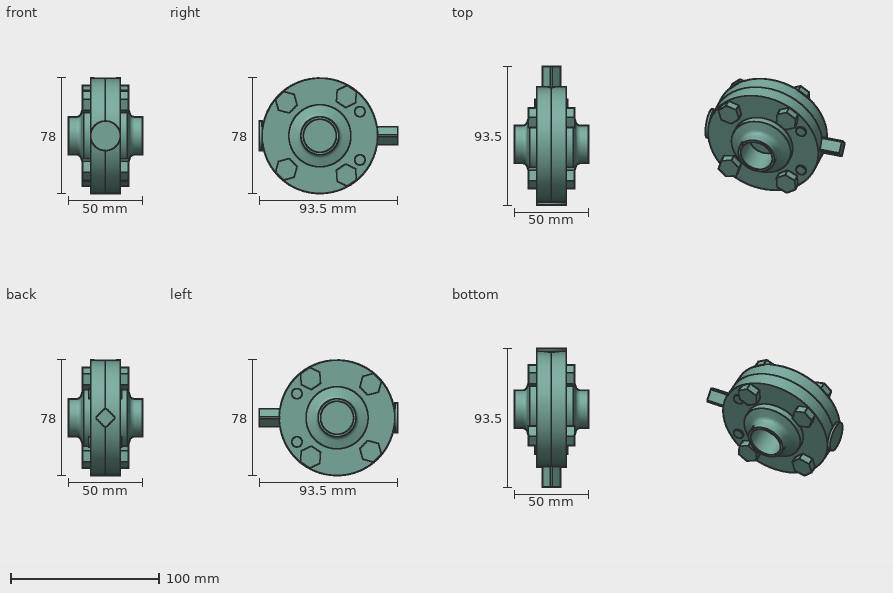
import cadquery as cq
import math


FLANGE_RADIUS = 39.0
FLANGE_THICKNESS = 10.0

BORE_RADIUS = 11.1
STUB_RADIUS = 12.8
VALVE_LENGTH = 50.0
STUB_END_X = VALVE_LENGTH / 2
RING_RADIUS = 20.9
RING_END_X = 14.7
CONE_ANGLE = 16.5
STUB_BLEND_RADIUS = 3.0
STUB_ROOT_X = RING_END_X + (RING_RADIUS - STUB_RADIUS) * math.tan(math.radians(CONE_ANGLE))

BOLT_CIRCLE_RADIUS = 32.0
BOLT_ANGLES = (56, -56, 135, -135)
BOLT_ACROSS_FLATS = 13.0
BOLT_HEAD_HEIGHT = 5.6
HEX_HALF_ANGLE = 30

PIN_RADIUS = 3.5
PIN_Y = 27.0
PIN_Z = 16.3
PIN_HEIGHT = 1.1

SHAFT_DIAMETER = 12.25
SPINDLE_LENGTH = 93.5
HEAD_RADIUS = FLANGE_THICKNESS
HEAD_THICKNESS = 2.0
HEAD_INNER_Y = -FLANGE_RADIUS
SPINDLE_START_Y = HEAD_INNER_Y - HEAD_THICKNESS
SPINDLE_END_Y = SPINDLE_START_Y + SPINDLE_LENGTH
SQUARE_SIDE = 9.5
SQUARE_TURN = 45
SQUARE_START_Y = 37.4
DISC_THICKNESS = 13.1


def rod_along_x(radius, start, end):
    return cq.Workplane("YZ", origin=(start, 0, 0)).circle(radius).extrude(end - start)


def rod_along_y(radius, start, end):
    return cq.Workplane("XZ", origin=(0, start, 0)).circle(radius).extrude(start - end)


def make_hub():
    """Ring, cone and pipe stub, turned about X."""
    profile = [
        (0, 0),
        (0, RING_RADIUS),
        (RING_END_X, RING_RADIUS),
        (STUB_ROOT_X, STUB_RADIUS),
        (STUB_END_X, STUB_RADIUS),
        (STUB_END_X, 0),
    ]
    hub = cq.Workplane("XZ").polyline(profile).close().revolve(360, (0, 0), (1, 0))
    stub_root = cq.selectors.NearestToPointSelector((STUB_ROOT_X, 0, 0))
    return hub.edges(stub_root).fillet(STUB_BLEND_RADIUS)


def make_bolt_head(angle):
    circumscribed_diameter = BOLT_ACROSS_FLATS / math.cos(math.radians(HEX_HALF_ANGLE))
    head = (
        cq.Workplane("YZ", origin=(FLANGE_THICKNESS, 0, 0))
        .polygon(6, circumscribed_diameter)
        .extrude(BOLT_HEAD_HEIGHT)
        .rotate((0, 0, 0), (1, 0, 0), HEX_HALF_ANGLE)
        .translate((0, BOLT_CIRCLE_RADIUS, 0))
    )
    return head.rotate((0, 0, 0), (1, 0, 0), angle)


def make_pin_ends():
    return (
        cq.Workplane("YZ", origin=(FLANGE_THICKNESS, 0, 0))
        .pushPoints([(PIN_Y, PIN_Z), (PIN_Y, -PIN_Z)])
        .circle(PIN_RADIUS)
        .extrude(PIN_HEIGHT)
    )


def make_spindle():
    """Disc, shaft with a round head at -Y, and a square drive end with turned corners at +Y."""
    head = rod_along_y(HEAD_RADIUS, SPINDLE_START_Y, HEAD_INNER_Y)
    shaft = rod_along_y(SHAFT_DIAMETER / 2, HEAD_INNER_Y, SQUARE_START_Y)
    square_length = SPINDLE_END_Y - SQUARE_START_Y
    square = (
        cq.Workplane("XZ", origin=(0, SQUARE_START_Y, 0))
        .rect(SQUARE_SIDE, SQUARE_SIDE)
        .extrude(-square_length)
        .rotate((0, 0, 0), (0, 1, 0), SQUARE_TURN)
        .intersect(rod_along_y(SHAFT_DIAMETER / 2, SQUARE_START_Y, SPINDLE_END_Y))
    )
    disc = rod_along_x(BORE_RADIUS, -DISC_THICKNESS / 2, DISC_THICKNESS / 2)
    return shaft.union(head).union(square).union(disc)


def make_housing_half(spindle):
    """The +X half, with its bolt heads and pin ends, bored for the pipe and the spindle."""
    half = rod_along_x(FLANGE_RADIUS, 0, FLANGE_THICKNESS).union(make_hub())
    for angle in BOLT_ANGLES:
        half = half.union(make_bolt_head(angle))
    half = half.union(make_pin_ends())
    bore = rod_along_x(BORE_RADIUS, 0, STUB_END_X)
    return half.cut(bore).cut(spindle)


spindle = make_spindle()
right_half = make_housing_half(spindle)
left_half = right_half.mirror("YZ")

result = cq.Compound.makeCompound([left_half.val(), right_half.val(), spindle.val()])